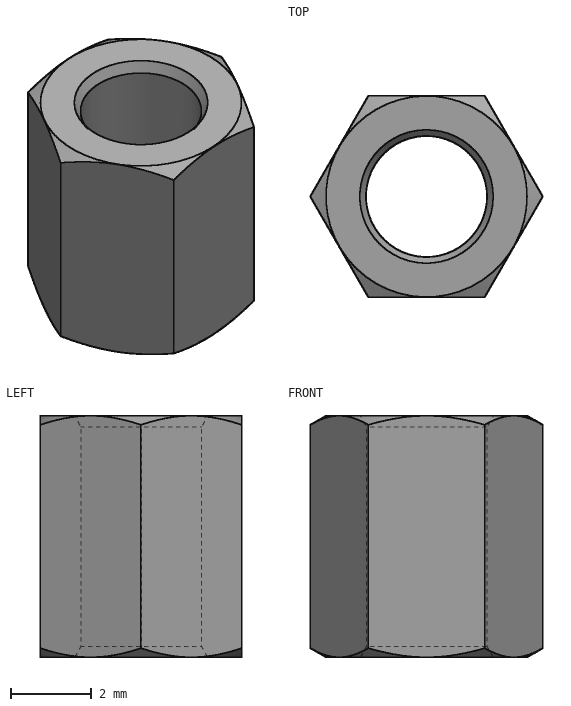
import cadquery as cq
import math

height = 6.0
across_flats = 5.005
bore_diameter = 3.0
countersink_diameter = 3.31
countersink_angle = 60.0
crown_diameter = 4.99
crown_angle = 30.0

across_corners = across_flats / math.cos(math.radians(30))
crown_radius = crown_diameter / 2
turning_radius = across_corners / 2 + 0.06
crown_drop = (turning_radius - crown_radius) * math.tan(math.radians(crown_angle))
bore_radius = bore_diameter / 2
countersink_radius = countersink_diameter / 2
countersink_depth = (countersink_radius - bore_radius) * math.tan(math.radians(countersink_angle))


def revolve_profile(points):
    """Turn a closed (radius, height) profile about the Z axis."""
    return cq.Workplane("XZ").polyline(points).close().revolve(360, (0, 0), (0, 1))


hexagon = cq.Workplane("XY").polygon(6, across_corners).extrude(height)

crown_envelope = revolve_profile([
    (0, 0),
    (crown_radius, 0),
    (turning_radius, crown_drop),
    (turning_radius, height - crown_drop),
    (crown_radius, height),
    (0, height),
])

bore = revolve_profile([
    (0, 0),
    (countersink_radius, 0),
    (bore_radius, countersink_depth),
    (bore_radius, height - countersink_depth),
    (countersink_radius, height),
    (0, height),
])

result = hexagon.intersect(crown_envelope).cut(bore)